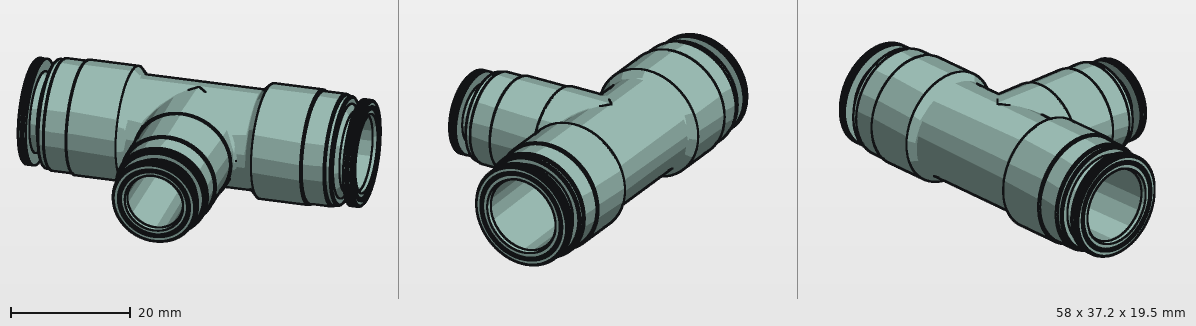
import math

import cadquery as cq


RUN_LENGTH = 58.0
BRANCH_REACH = 27.5
TEE_DIAMETER = 17.0
RUN_SLEEVE_DIAMETER = 19.0
RUN_FLANGE_DIAMETER = 18.0
RUN_NECK_DIAMETER = 13.65
RUN_SOCKET_DIAMETER = 12.85
RUN_PASSAGE_DIAMETER = 10.5
BRANCH_SLEEVE_DIAMETER = 16.0
BRANCH_FLANGE_DIAMETER = 14.5
BRANCH_NECK_DIAMETER = 10.35
BRANCH_SOCKET_DIAMETER = 9.65
BRANCH_PASSAGE_DIAMETER = 7.5

CHAMFER = 0.25
FLANGE_THICKNESS = 1.5
FACE_GROOVE_INSET = 0.75
NECK_FLARE = 0.075
BEVEL_START = 2.75
COLLAR_START = 3.5
COLLAR_FACE_WIDTH = 1.0
SLEEVE_START = 4.5
BODY_START = 8.5
BODY_END = 17.25
MOUTH_WIDENING = 0.25
MOUTH_DEPTH = 0.75
SOCKET_DEPTH = BODY_END
SOCKET_FLOOR_ANGLE = 60.0

SHOULDER_ANGLE = math.radians(45)
SHOULDER_FILLET = 0.5
CROTCH_FILLET = 0.5

WEB_THICKNESS = 0.2
WEB_LENGTH = 8.5
WEB_EDGE_OFFSET = 1.0
WEB_EDGE_SLOPE = 0.14

TEE_RADIUS = TEE_DIAMETER / 2


def port_outline(sleeve_diameter, flange_diameter, neck_diameter):
    """Half profile (distance from face, radius) of a port, from its face to the end of its body."""
    sleeve = sleeve_diameter / 2
    neck = neck_diameter / 2
    flange = flange_diameter / 2
    collar = sleeve - CHAMFER
    body = sleeve + CHAMFER
    face_edge = flange - CHAMFER
    face_groove = face_edge - FACE_GROOVE_INSET
    rim_groove = (CHAMFER + FLANGE_THICKNESS) / 2
    return [
        (0, 0),
        (0, face_groove - 2 * CHAMFER),
        (CHAMFER, face_groove - CHAMFER),
        (0, face_groove),
        (0, face_edge),
        (CHAMFER, flange),
        (rim_groove - CHAMFER, flange),
        (rim_groove, flange - CHAMFER),
        (rim_groove + CHAMFER, flange),
        (FLANGE_THICKNESS, flange),
        (FLANGE_THICKNESS, neck + NECK_FLARE),
        (FLANGE_THICKNESS + CHAMFER, neck),
        (BEVEL_START, neck),
        (COLLAR_START, collar - CHAMFER - COLLAR_FACE_WIDTH),
        (COLLAR_START, collar - CHAMFER),
        (COLLAR_START + CHAMFER, collar),
        (SLEEVE_START, collar),
        (SLEEVE_START + CHAMFER, sleeve),
        (BODY_START, sleeve),
        (BODY_START + CHAMFER, body),
        (BODY_END, body),
    ]


def revolve_inward(points, reach):
    """Solid of revolution about X whose port face is at X = -reach."""
    shifted = [(distance - reach, radius) for distance, radius in points]
    return cq.Workplane("XY").polyline(shifted).close().revolve(360, (0, 0, 0), (1, 0, 0))


def socket_cut(socket_diameter, passage_diameter, reach):
    """Chamfered tube socket with a conical floor leading into the inner passage."""
    socket = socket_diameter / 2
    passage = passage_diameter / 2
    floor_depth = (socket - passage) / math.tan(math.radians(SOCKET_FLOOR_ANGLE))
    return revolve_inward(
        [
            (0, 0),
            (0, socket + MOUTH_WIDENING),
            (MOUTH_DEPTH, socket),
            (SOCKET_DEPTH, socket),
            (SOCKET_DEPTH + floor_depth, passage),
            (reach, passage),
            (reach, 0),
        ],
        reach,
    )


def to_branch(shape):
    """Turn a port modelled toward -X so that it points toward -Y."""
    return shape.rotate((0, 0, 0), (0, 0, 1), 90)


def to_far_end(shape):
    """Copy a port modelled toward -X to the +X end."""
    return shape.mirror("YZ")


def make_tee():
    """Plain run and branch tubes of equal diameter, filleted along their mitred joint."""
    run_half_length = RUN_LENGTH / 2 - BODY_END
    run = cq.Workplane("YZ").circle(TEE_RADIUS).extrude(run_half_length, both=True)
    branch = cq.Workplane("XZ").circle(TEE_RADIUS).extrude(BRANCH_REACH - BODY_END)
    margin = CROTCH_FILLET
    outer = TEE_RADIUS + margin
    joint = cq.selectors.BoxSelector((-outer, -outer, -outer), (outer, margin, outer))
    return run.union(branch).edges(joint).fillet(CROTCH_FILLET)


def make_run_port():
    """Run port with a conical shoulder that blends into the tee tube."""
    reach = RUN_LENGTH / 2
    outline = port_outline(RUN_SLEEVE_DIAMETER, RUN_FLANGE_DIAMETER, RUN_NECK_DIAMETER)
    body_radius = outline[-1][1]
    shoulder_end = BODY_END + (body_radius - TEE_RADIUS) / math.tan(SHOULDER_ANGLE)
    tangent_length = SHOULDER_FILLET * math.tan(SHOULDER_ANGLE / 2)
    blend_start = shoulder_end - tangent_length * math.cos(SHOULDER_ANGLE)
    blend_start_radius = TEE_RADIUS + tangent_length * math.sin(SHOULDER_ANGLE)
    blend_end = shoulder_end + tangent_length
    outline.append((blend_start, blend_start_radius))
    profile = cq.Workplane("XY").polyline([(s - reach, r) for s, r in outline])
    profile = profile.radiusArc((blend_end - reach, TEE_RADIUS), -SHOULDER_FILLET)
    profile = profile.lineTo(blend_end - reach, 0).close()
    return profile.revolve(360, (0, 0, 0), (1, 0, 0))


def make_branch_port():
    """Branch port, butted against the tee tube."""
    outline = port_outline(BRANCH_SLEEVE_DIAMETER, BRANCH_FLANGE_DIAMETER, BRANCH_NECK_DIAMETER)
    outline.append((BODY_END, 0))
    return to_branch(revolve_inward(outline, BRANCH_REACH))


def make_passages():
    """All internal space: the three sockets and the passages that join them."""
    run_socket = socket_cut(RUN_SOCKET_DIAMETER, RUN_PASSAGE_DIAMETER, RUN_LENGTH / 2)
    branch_socket = socket_cut(BRANCH_SOCKET_DIAMETER, BRANCH_PASSAGE_DIAMETER, BRANCH_REACH)
    return run_socket.union(to_far_end(run_socket)).union(to_branch(branch_socket))


def make_web():
    """Thin leaning plate running from its free edge toward +X and -Y, into the tee wall."""
    plane = cq.Plane(
        origin=(-WEB_EDGE_OFFSET, -WEB_EDGE_OFFSET, 0),
        xDir=(1, -1, 0),
        normal=(-1, -1, 2 * WEB_EDGE_SLOPE),
    )
    plate = cq.Workplane(plane).center(WEB_LENGTH / 2, 0).rect(WEB_LENGTH, TEE_DIAMETER)
    return plate.extrude(-WEB_THICKNESS)


run_port = make_run_port()
tee = make_tee()
fitting = tee.union(run_port).union(to_far_end(run_port)).union(make_branch_port())
web = make_web().intersect(tee)
result = fitting.cut(make_passages()).union(web)